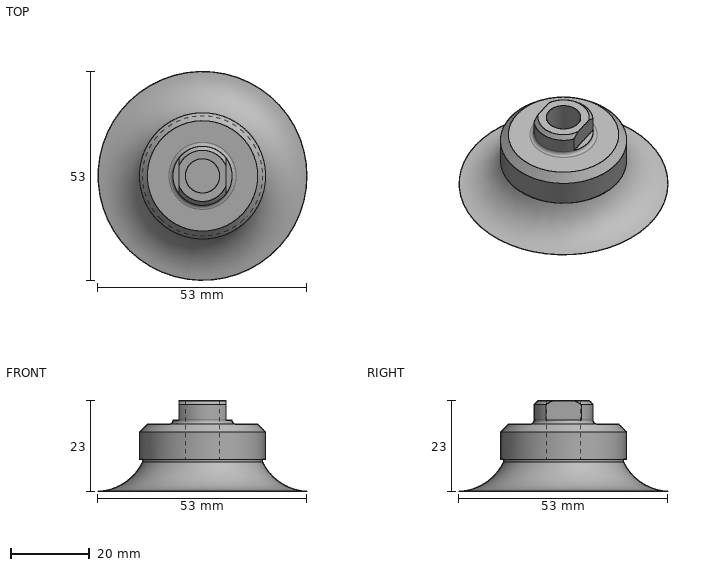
import cadquery as cq
import math

rim_radius = 26.5
neck_radius = 30.5 / 2
flare_top_z = 7.4
neck_top_z = 8.1
flare_radius = 13.0

disc_radius = 32.0 / 2
disc_top_z = 17.0
disc_chamfer = 2.0
boss_radius = 15.0 / 2
boss_top_z = 23.0
boss_chamfer = 1.0
boss_fillet = 1.0
flat_width = 12.0
bore_radius = 8.7 / 2

collar_top_z = disc_top_z + boss_fillet


def make_cup():
    """Solid of revolution whose side is a concave arc from the sharp rim to the neck."""
    chord_r = neck_radius - rim_radius
    chord_z = flare_top_z
    chord = math.hypot(chord_r, chord_z)
    center_offset = math.sqrt(flare_radius**2 - (chord / 2) ** 2)
    sagitta = flare_radius - center_offset
    arc_middle = (
        (rim_radius + neck_radius) / 2 - sagitta * chord_z / chord,
        flare_top_z / 2 + sagitta * chord_r / chord,
    )
    return (
        cq.Workplane("XZ")
        .moveTo(0, 0)
        .lineTo(rim_radius, 0)
        .threePointArc(arc_middle, (neck_radius, flare_top_z))
        .lineTo(neck_radius, neck_top_z)
        .lineTo(0, neck_top_z)
        .close()
        .revolve(360, (0, 0, 0), (0, 1, 0))
    )


def make_flat_cutter(side):
    """Block that trims one side of the boss (side is -1 or 1) above the collar."""
    block_size = 2 * boss_radius
    return (
        cq.Workplane("XY", origin=(side * (flat_width + block_size) / 2, 0, collar_top_z))
        .rect(block_size, block_size)
        .extrude(boss_top_z - collar_top_z)
    )


def make_fitting():
    """Chamfered disc and filleted boss, with a through bore and two flats."""
    fillet_middle = (
        boss_radius + boss_fillet * (1 - math.sqrt(0.5)),
        disc_top_z + boss_fillet * (1 - math.sqrt(0.5)),
    )
    fitting = (
        cq.Workplane("XZ")
        .moveTo(bore_radius, neck_top_z)
        .lineTo(disc_radius, neck_top_z)
        .lineTo(disc_radius, disc_top_z - disc_chamfer)
        .lineTo(disc_radius - disc_chamfer, disc_top_z)
        .lineTo(boss_radius + boss_fillet, disc_top_z)
        .threePointArc(fillet_middle, (boss_radius, collar_top_z))
        .lineTo(boss_radius, boss_top_z - boss_chamfer)
        .lineTo(boss_radius - boss_chamfer, boss_top_z)
        .lineTo(bore_radius, boss_top_z)
        .close()
        .revolve(360, (0, 0, 0), (0, 1, 0))
    )
    for side in (-1, 1):
        fitting = fitting.cut(make_flat_cutter(side))
    return fitting


cup = make_cup()
fitting = make_fitting()

result = cq.Compound.makeCompound([cup.val(), fitting.val()])